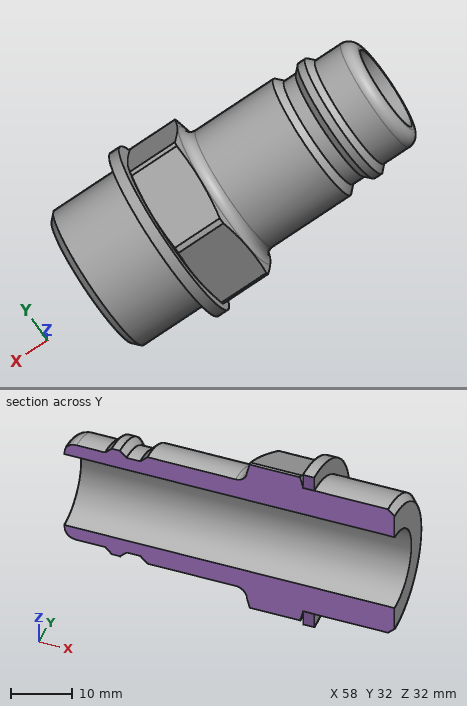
import cadquery as cq
import math

total_length = 58.0
bead_start = 7.2
bead_crest_start = 8.35
bead_crest_end = 9.8
body_start = 13.35
fillet_start = 30.05
washer_start = 41.95
washer_thickness = 2.0

bore_diameter = 15.0
nose_diameter = 20.3
bead_diameter = 22.6
body_diameter = 22.85
spigot_diameter = 26.45
washer_diameter = 32.0

nose_round = 2.15
hex_fillet = 2.0
spigot_chamfer = 1.15

hex_across_flats = 27.0
hex_corner_diameter = 30.6
hex_chamfer_angle = 15.0

bore_radius = bore_diameter / 2
nose_radius = nose_diameter / 2
bead_radius = bead_diameter / 2
body_radius = body_diameter / 2
spigot_radius = spigot_diameter / 2
bead_end = bead_crest_end + bead_radius - nose_radius
body_full_start = body_start + body_radius - nose_radius
hex_start = fillet_start + hex_fillet
hex_face_radius = body_radius + hex_fillet
hex_corner_radius = hex_corner_diameter / 2
hex_chamfer_length = (hex_corner_radius - hex_face_radius) * math.tan(math.radians(hex_chamfer_angle))
diagonal = math.sqrt(0.5)


def revolve_about_x(outline):
    """Revolve a closed XY outline around the X axis."""
    return outline.close().revolve(360, (0, 0, 0), (1, 0, 0))


def make_turned_shank():
    """Nose, bead, body with fillet, core under the hexagon, and spigot."""
    outline = (
        cq.Workplane("XY")
        .moveTo(0, bore_radius)
        .lineTo(0, nose_radius - nose_round)
        .threePointArc(
            (nose_round * (1 - diagonal), nose_radius - nose_round * (1 - diagonal)),
            (nose_round, nose_radius),
        )
        .lineTo(bead_start, nose_radius)
        .lineTo(bead_crest_start, bead_radius)
        .lineTo(bead_crest_end, bead_radius)
        .lineTo(bead_end, nose_radius)
        .lineTo(body_start, nose_radius)
        .lineTo(body_full_start, body_radius)
        .lineTo(fillet_start, body_radius)
        .threePointArc(
            (fillet_start + hex_fillet * diagonal, body_radius + hex_fillet * (1 - diagonal)),
            (hex_start, hex_face_radius),
        )
        .lineTo(hex_start, spigot_radius)
        .lineTo(total_length - spigot_chamfer, spigot_radius)
        .lineTo(total_length, spigot_radius - spigot_chamfer)
        .lineTo(total_length, bore_radius)
    )
    return revolve_about_x(outline)


def make_hexagon():
    """Bored hexagon with corners up and down, turned and chamfered at both ends."""
    across_corners = hex_across_flats / math.cos(math.pi / 6)
    prism = (
        cq.Workplane("YZ", origin=(hex_start, 0, 0))
        .transformed(rotate=(0, 0, 90))
        .polygon(6, across_corners)
        .extrude(washer_start - hex_start)
    )
    turned_envelope = revolve_about_x(
        cq.Workplane("XY")
        .moveTo(hex_start, bore_radius)
        .lineTo(hex_start, hex_face_radius)
        .lineTo(hex_start + hex_chamfer_length, hex_corner_radius)
        .lineTo(washer_start - hex_chamfer_length, hex_corner_radius)
        .lineTo(washer_start, hex_face_radius)
        .lineTo(washer_start, bore_radius)
    )
    return prism.intersect(turned_envelope)


def make_nipple():
    """One-piece bored nipple with its hexagon."""
    return make_turned_shank().union(make_hexagon())


def make_washer():
    """Flat sealing ring seated on the spigot against the hexagon."""
    return (
        cq.Workplane("YZ", origin=(washer_start, 0, 0))
        .circle(washer_diameter / 2)
        .circle(spigot_radius)
        .extrude(washer_thickness)
    )


nipple = make_nipple()
washer = make_washer()

result = cq.Compound.makeCompound([nipple.val(), washer.val()])